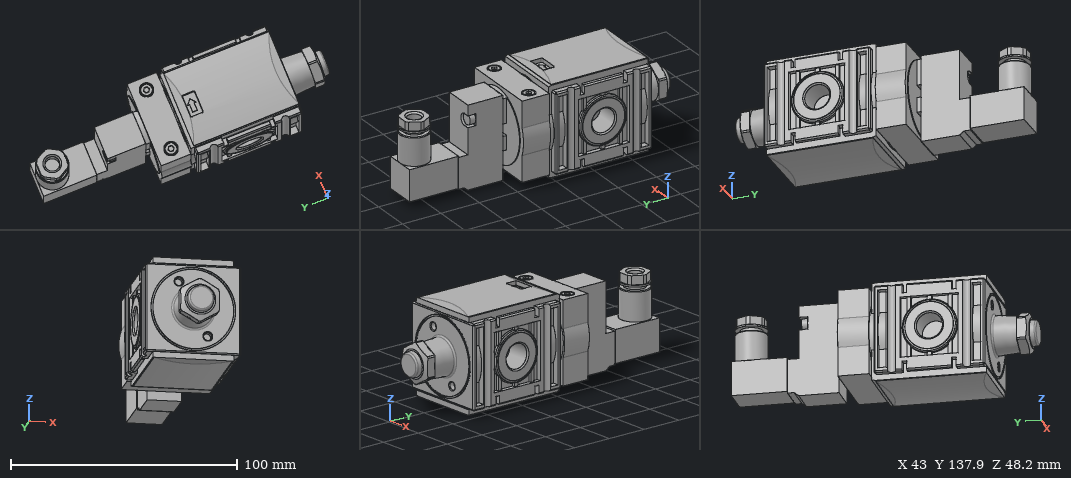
import cadquery as cq
import math


FLANK_X = 21.5
FLANK_Y = 25.3
FLANK_Z = 20.3
FLANK_CHAMFER = 0.7
CORE_X = 18.2
CORE_BACK = 26.9
CORE_BARREL_R = 20.1
COVER_RIM_Z = 22.9
COVER_RIM = 0.5
DOME_EDGE_Z = 23.0
DOME_TOP_Z = 48.2 / 2
DOME_BACK_SLOPE = 3.7
DOME_FRONT_SLOPE = 4.3
BACK_LIP_DROP = 0.4

MARK_HALF_X = 5.2
MARK_FRONT = 15.6
MARK_BACK = FLANK_Y - DOME_BACK_SLOPE
MARK_FLOOR_Z = 22.0
MARK_CORNER_R = 0.7
ARROW_HEIGHT = 0.5
ARROW_Y = 18.8
ARROW_TAIL_X = -3.2
ARROW_NECK_X = 0.4
ARROW_TIP_X = 2.9
ARROW_SHAFT_HALF = 1.1
ARROW_HEAD_HALF = 2.1

GROOVE_Y = 17.1
GROOVE_R = 1.8
WINDOW_INNER_Y = 19.5
WINDOW_OUTER_Y = 23.5
WINDOW_HALF_Z = 18.2
SLOT_OUTER_Y = 12.3
SLOT_INNER_Y = 10.2
SLOT_FLOOR_Z = 16.0
SLOT_LIP_X = 19.3

PORT_PANEL_Y = 13.2
PORT_PANEL_Z = 14.1
RIB_DEPTH = 0.8
CELL_DEPTH = 2.2
CELL_SPANS = [(1.03, 8.5), (10.2, PORT_PANEL_Y)]
PORT_BOSS_R = 12.4
PORT_BOSS_CHAMFER = 0.5
PORT_SEAT_R = 11.0
PORT_SEAT_HEIGHT = 0.4
PORT_HOLE_R = 6.0
PORT_HOLE_CHAMFER = 0.7
PORT_DEPTH = 12.4

CAP_R = 18.2
CAP_GROOVE_R = 19.0
CAP_GROOVE_DEPTH = 0.5
PIN_HOLE_X = 6.5
PIN_HOLE_Z = 12.3
PIN_HOLE_R = 1.8
PIN_HOLE_CHAMFER = 0.4
PIN_HOLE_DEPTH = 2.8

SPOUT_FILLET = 0.8
SPOUT_BASE_R = 9.0
SPOUT_END_R = 8.3
HEX_BACK = -36.7
HEX_FRONT = -40.8
HEX_FLATS = 17.4
HEX_TRIM_R = 9.8
CONE_FRONT = -42.0
CONE_END_R = 6.9
STUB_R = 6.1
STUB_END_R = 5.8
STUB_ROUND = 0.8
TIP_Y = -44.8

BLOCK_FRONT = 27.6
BLOCK_BACK = 41.8
BLOCK_X = 20.0
BLOCK_Z = CORE_BARREL_R
BLOCK_BARREL_R = 21.1
DISC_R = 18.5
DISC_BACK = 42.2
SCREW_X = 14.4
SCREW_Y = 34.8
SCREW_HEAD_R = 2.6
SCREW_BORE_R = 3.2
SCREW_GAP_DEPTH = 1.4
SOCKET_CORNER_R = 1.4
SOCKET_DEPTH = 1.1
UPPER_PAD_BOTTOM = 4.3
LOWER_PAD_TOP = -1.8
LOWER_PAD_BOTTOM = -9.0

COIL_X = 15.6 / 2
COIL_FRONT = 44.2
COIL_BACK = 62.5
COIL_TOP = DISC_R
COIL_BOTTOM = -23.6
FOOT_TOP = -6.1
FOOT_BOTTOM = -22.0
FOOT_SLOPE_BACK = 64.6
OVERRIDE_Z = 10.2
OVERRIDE_R = 2.9
OVERRIDE_X = OVERRIDE_R - COIL_X
OVERRIDE_DEPTH = 4.1
OVERRIDE_HEAD_SETBACK = 1.2

PLUG_X = 8.1
PLUG_FRONT = 67.6
PLUG_BACK = 93.1
PLUG_TOP = -5.2
PLUG_BOTTOM = -21.3
GLAND_R = 7.5
GLAND_Y = PLUG_BACK - GLAND_R
GLAND_TOP = 9.1
GLAND_CHAMFER = 0.4
GLAND_NECK_R = 5.1
FLANGE_BOTTOM = 11.0
FLANGE_TOP = 11.9
NUT_FLATS = 13.0
NUT_TRIM_R = 7.0
NUT_TOP = 16.1
CABLE_HOLE_R = 3.3
CABLE_HOLE_CHAMFER = 0.8
CABLE_HOLE_DEPTH = 5.5

SIDES = (-1, 1)


def block(x0, x1, y0, y1, z0, z1):
    """Box between opposite corners, given in either order."""
    size = (abs(x1 - x0), abs(y1 - y0), abs(z1 - z0))
    middle = ((x0 + x1) / 2, (y0 + y1) / 2, (z0 + z1) / 2)
    return cq.Workplane("XY").box(*size).translate(middle)


def rod_y(radius, y0, y1, x=0, z=0):
    """Cylinder along Y from y0 up to y1."""
    return cq.Workplane("XZ", origin=(x, y0, z)).circle(radius).extrude(y0 - y1)


def turned_y(profile):
    """Solid turned about the Y axis from (radius, y) points."""
    return cq.Workplane("XY").polyline(profile).close().revolve(360, (0, 0, 0), (0, 1, 0))


def hexagon(flats):
    """Corner points of a hexagon across flats, with corners on its second axis."""
    corner_r = flats / math.sqrt(3)
    angles = [math.radians(30 + 60 * i) for i in range(6)]
    return [(corner_r * math.cos(a), corner_r * math.sin(a)) for a in angles]



def domed_cover():
    """Upper cover dome: an arc across X with both ends sloping down."""
    half_x = CORE_X - COVER_RIM
    dome = (
        cq.Workplane("XZ", origin=(0, FLANK_Y, 0))
        .moveTo(-half_x, FLANK_Z)
        .lineTo(-half_x, DOME_EDGE_Z)
        .threePointArc((0, DOME_TOP_Z), (half_x, DOME_EDGE_Z))
        .lineTo(half_x, FLANK_Z)
        .close()
        .extrude(2 * FLANK_Y)
    )
    side = [
        (-FLANK_Y, FLANK_Z),
        (-FLANK_Y, DOME_EDGE_Z),
        (DOME_FRONT_SLOPE - FLANK_Y, DOME_TOP_Z),
        (FLANK_Y - DOME_BACK_SLOPE, DOME_TOP_Z),
        (FLANK_Y, DOME_EDGE_Z),
        (FLANK_Y, FLANK_Z),
    ]
    return dome.intersect(cq.Workplane("YZ").polyline(side).close().extrude(half_x, both=True))


def core():
    """Core block with its barrel sides and the covers above and below."""
    lip_z = COVER_RIM_Z - BACK_LIP_DROP
    side = [
        (-FLANK_Y, -COVER_RIM_Z),
        (FLANK_Y, -COVER_RIM_Z),
        (CORE_BACK, -lip_z),
        (CORE_BACK, lip_z),
        (FLANK_Y, COVER_RIM_Z),
        (-FLANK_Y, COVER_RIM_Z),
    ]
    body = cq.Workplane("YZ").polyline(side).close().extrude(CORE_X, both=True)
    front = FLANK_CHAMFER - FLANK_Y
    body = body.cut(block(-CORE_X, CORE_X, -FLANK_Y, front, -FLANK_Z, FLANK_Z))
    body = body.union(rod_y(CORE_BARREL_R, front, BLOCK_FRONT))
    cover = domed_cover()
    return body.union(cover).union(cover.mirror("XY"))


def flank_cuts():
    """End windows and clip slots of the flank on the +X side."""
    cuts = cq.Workplane("XY")
    for side in SIDES:
        cuts = cuts.add(block(CORE_X, FLANK_X, side * WINDOW_INNER_Y, side * WINDOW_OUTER_Y,
                              -WINDOW_HALF_Z, WINDOW_HALF_Z))
        z0, z1 = side * SLOT_FLOOR_Z, side * FLANK_Z
        cuts = cuts.add(block(CORE_X, SLOT_LIP_X, -SLOT_OUTER_Y, SLOT_OUTER_Y, z0, z1))
        for end in SIDES:
            cuts = cuts.add(block(CORE_X, FLANK_X, end * SLOT_INNER_Y, end * SLOT_OUTER_Y, z0, z1))
    return cuts.combine()


def vertical_grooves():
    """Two round grooves along Z in the face of the +X side."""
    grooves = cq.Workplane("XY", origin=(FLANK_X, 0, -FLANK_Z))
    return grooves.pushPoints([(0, side * GROOVE_Y) for side in SIDES]).circle(GROOVE_R).extrude(2 * FLANK_Z)


def port_panel_cuts():
    """Recessed ribbed panel of the +X side, leaving the round port boss."""
    rib_x = FLANK_X - RIB_DEPTH
    cell_x = FLANK_X - CELL_DEPTH
    cuts = block(rib_x, FLANK_X, -PORT_PANEL_Y, PORT_PANEL_Y, -PORT_PANEL_Z, PORT_PANEL_Z)
    for side in SIDES:
        for inner, outer in CELL_SPANS:
            cuts = cuts.union(block(cell_x, FLANK_X, side * inner, side * outer,
                                    -PORT_PANEL_Z, PORT_PANEL_Z))
    boss = (
        cq.Workplane("YZ", origin=(cell_x, 0, 0))
        .circle(PORT_BOSS_R)
        .extrude(CELL_DEPTH - PORT_SEAT_HEIGHT)
        .faces(">X")
        .chamfer(PORT_BOSS_CHAMFER)
    )
    boss = boss.union(cq.Workplane("YZ", origin=(cell_x, 0, 0)).circle(PORT_SEAT_R).extrude(CELL_DEPTH))
    return cuts.cut(boss)


def port_hole():
    """Blind hole of the +X port with its chamfered mouth."""
    mouth_r = PORT_HOLE_R + PORT_HOLE_CHAMFER
    profile = [
        (FLANK_X - PORT_DEPTH, 0),
        (FLANK_X - PORT_DEPTH, PORT_HOLE_R),
        (FLANK_X - PORT_HOLE_CHAMFER, PORT_HOLE_R),
        (FLANK_X, mouth_r),
        (FLANK_X, 0),
    ]
    return cq.Workplane("XY").polyline(profile).close().revolve(360, (0, 0, 0), (1, 0, 0))


def flanked_housing():
    """Core inside the two flanks, with both ports."""
    flanks = block(-FLANK_X, FLANK_X, -FLANK_Y, FLANK_Y, -FLANK_Z, FLANK_Z)
    flanks = flanks.edges().chamfer(FLANK_CHAMFER)
    side_cuts = flank_cuts()
    flanks = flanks.cut(side_cuts).cut(side_cuts.mirror("YZ"))
    body = flanks.union(core())
    for cut in (vertical_grooves(), port_panel_cuts(), port_hole()):
        body = body.cut(cut).cut(cut.mirror("YZ"))
    return body


def flow_mark_recess():
    """Pocket in the upper cover with a raised flow arrow on its floor."""
    pocket = block(-MARK_HALF_X, MARK_HALF_X, MARK_FRONT, MARK_BACK, MARK_FLOOR_Z, DOME_TOP_Z)
    pocket = pocket.edges("|Z and <Y").fillet(MARK_CORNER_R)
    arrow = (
        cq.Workplane("XY", origin=(0, ARROW_Y, MARK_FLOOR_Z))
        .polyline([
            (ARROW_TAIL_X, -ARROW_SHAFT_HALF),
            (ARROW_NECK_X, -ARROW_SHAFT_HALF),
            (ARROW_NECK_X, -ARROW_HEAD_HALF),
            (ARROW_TIP_X, 0),
            (ARROW_NECK_X, ARROW_HEAD_HALF),
            (ARROW_NECK_X, ARROW_SHAFT_HALF),
            (ARROW_TAIL_X, ARROW_SHAFT_HALF),
        ])
        .close()
        .extrude(ARROW_HEIGHT)
    )
    return pocket.cut(arrow)


def end_cap_cuts():
    """Ring groove around the front end cap and its two pin holes."""
    groove = rod_y(CAP_GROOVE_R, -FLANK_Y, CAP_GROOVE_DEPTH - FLANK_Y)
    cuts = groove.cut(rod_y(CAP_R, -FLANK_Y, CAP_GROOVE_DEPTH - FLANK_Y))
    mouth_r = PIN_HOLE_R + PIN_HOLE_CHAMFER
    hole = turned_y([
        (0, -FLANK_Y),
        (mouth_r, -FLANK_Y),
        (PIN_HOLE_R, PIN_HOLE_CHAMFER - FLANK_Y),
        (PIN_HOLE_R, PIN_HOLE_DEPTH - FLANK_Y),
        (0, PIN_HOLE_DEPTH - FLANK_Y),
    ])
    for side in SIDES:
        cuts = cuts.union(hole.translate((side * PIN_HOLE_X, 0, -side * PIN_HOLE_Z)))
    return cuts



def silencer():
    """Tapered spout, hexagon and rounded stub on the front end cap."""
    bend = SPOUT_FILLET * (1 - math.sqrt(0.5))
    spout = (
        cq.Workplane("XY")
        .moveTo(0, -FLANK_Y)
        .lineTo(SPOUT_BASE_R + SPOUT_FILLET, -FLANK_Y)
        .threePointArc((SPOUT_BASE_R + bend, -FLANK_Y - bend), (SPOUT_BASE_R, -FLANK_Y - SPOUT_FILLET))
        .lineTo(SPOUT_END_R, HEX_BACK)
        .lineTo(0, HEX_BACK)
        .close()
        .revolve(360, (0, 0, 0), (0, 1, 0))
    )
    nut = cq.Workplane("XZ", origin=(0, HEX_BACK, 0)).polyline(hexagon(HEX_FLATS)).close()
    nut = nut.extrude(HEX_BACK - CONE_FRONT)
    trim = turned_y([
        (0, HEX_BACK),
        (HEX_TRIM_R, HEX_BACK),
        (HEX_TRIM_R, HEX_FRONT),
        (CONE_END_R, CONE_FRONT),
        (0, CONE_FRONT),
    ])
    stub = turned_y([
        (0, CONE_FRONT),
        (STUB_R, CONE_FRONT),
        (STUB_END_R, TIP_Y),
        (0, TIP_Y),
    ])
    stub = stub.faces("<Y").edges().fillet(STUB_ROUND)
    return spout.union(nut.intersect(trim)).union(stub)



def pilot_screw_cut():
    """Gap around one screw head and its hexagon socket, at the origin with the top at z = 0."""
    gap = cq.Workplane("XY").circle(SCREW_BORE_R).circle(SCREW_HEAD_R).extrude(-SCREW_GAP_DEPTH)
    socket = cq.Workplane("XY").polyline(hexagon(SOCKET_CORNER_R * math.sqrt(3))).close()
    return gap.union(socket.extrude(-SOCKET_DEPTH))


def pilot_block():
    """Block behind the housing with two screws and the pads that carry the solenoid."""
    body = block(-BLOCK_X, BLOCK_X, BLOCK_FRONT, BLOCK_BACK, -BLOCK_Z, BLOCK_Z)
    barrel = rod_y(BLOCK_BARREL_R, BLOCK_FRONT, BLOCK_BACK)
    barrel_limit = block(-BLOCK_BARREL_R, BLOCK_BARREL_R, BLOCK_FRONT, BLOCK_BACK, -BLOCK_Z, BLOCK_Z)
    body = body.union(barrel.intersect(barrel_limit))
    body = body.union(rod_y(DISC_R, BLOCK_BACK, DISC_BACK))
    upper_pad = block(-COIL_X, COIL_X, DISC_BACK, COIL_FRONT, UPPER_PAD_BOTTOM, DISC_R)
    upper_pad = upper_pad.intersect(rod_y(DISC_R, DISC_BACK, COIL_FRONT))
    lower_pad = block(-COIL_X, COIL_X, DISC_BACK, COIL_FRONT, LOWER_PAD_BOTTOM, LOWER_PAD_TOP)
    body = body.union(upper_pad).union(lower_pad)
    for side in SIDES:
        body = body.cut(pilot_screw_cut().translate((side * SCREW_X, SCREW_Y, BLOCK_Z)))
    return body


def valve():
    """Housing, silencer and pilot block as one solid."""
    body = flanked_housing().cut(flow_mark_recess()).cut(end_cap_cuts())
    return body.union(silencer()).union(pilot_block())



def override_cut():
    """Bore for the manual override, open to the -X side, around the override's round head."""
    bottom = COIL_BACK - OVERRIDE_DEPTH
    bore = rod_y(OVERRIDE_R, bottom, COIL_BACK, OVERRIDE_X, OVERRIDE_Z)
    opening = block(-COIL_X, OVERRIDE_X, bottom, COIL_BACK,
                    OVERRIDE_Z - OVERRIDE_R, OVERRIDE_Z + OVERRIDE_R)
    head = rod_y(OVERRIDE_R, bottom, COIL_BACK - OVERRIDE_HEAD_SETBACK, OVERRIDE_X, OVERRIDE_Z)
    return bore.union(opening).cut(head)


def coil():
    """Upright coil with a foot towards the plug."""
    side = [
        (COIL_FRONT, COIL_BOTTOM),
        (COIL_BACK, COIL_BOTTOM),
        (FOOT_SLOPE_BACK, FOOT_BOTTOM),
        (PLUG_FRONT, FOOT_BOTTOM),
        (PLUG_FRONT, FOOT_TOP),
        (COIL_BACK, FOOT_TOP),
        (COIL_BACK, COIL_TOP),
        (COIL_FRONT, COIL_TOP),
    ]
    body = cq.Workplane("YZ").polyline(side).close().extrude(COIL_X, both=True)
    return body.cut(override_cut())


def gland_disc(radius, bottom, top):
    """Cylinder on the cable gland axis."""
    return cq.Workplane("XY", origin=(0, GLAND_Y, bottom)).circle(radius).extrude(top - bottom)


def cable_gland():
    """Gland tower with neck, flange, hexagon nut and cable hole."""
    tower = gland_disc(GLAND_R, PLUG_TOP, GLAND_TOP).faces(">Z").chamfer(GLAND_CHAMFER)
    body = tower.union(gland_disc(GLAND_NECK_R, GLAND_TOP, FLANGE_BOTTOM))
    body = body.union(gland_disc(GLAND_R, FLANGE_BOTTOM, FLANGE_TOP))
    nut = cq.Workplane("XY", origin=(0, GLAND_Y, FLANGE_TOP)).transformed(rotate=(0, 0, 90))
    nut = nut.polyline(hexagon(NUT_FLATS)).close().extrude(NUT_TOP - FLANGE_TOP)
    body = body.union(nut.intersect(gland_disc(NUT_TRIM_R, FLANGE_TOP, NUT_TOP)))
    body = body.cut(gland_disc(CABLE_HOLE_R, NUT_TOP - CABLE_HOLE_DEPTH, NUT_TOP))
    mouth = cq.Workplane("XY", origin=(0, GLAND_Y, NUT_TOP)).circle(CABLE_HOLE_R + CABLE_HOLE_CHAMFER)
    return body.cut(mouth.extrude(-CABLE_HOLE_CHAMFER, taper=45))


def solenoid():
    """Coil with its connector plug and cable gland as one solid."""
    plug = block(-PLUG_X, PLUG_X, PLUG_FRONT, PLUG_BACK, PLUG_BOTTOM, PLUG_TOP)
    return coil().union(plug).union(cable_gland())


result = cq.Compound.makeCompound([valve().val(), solenoid().val()])